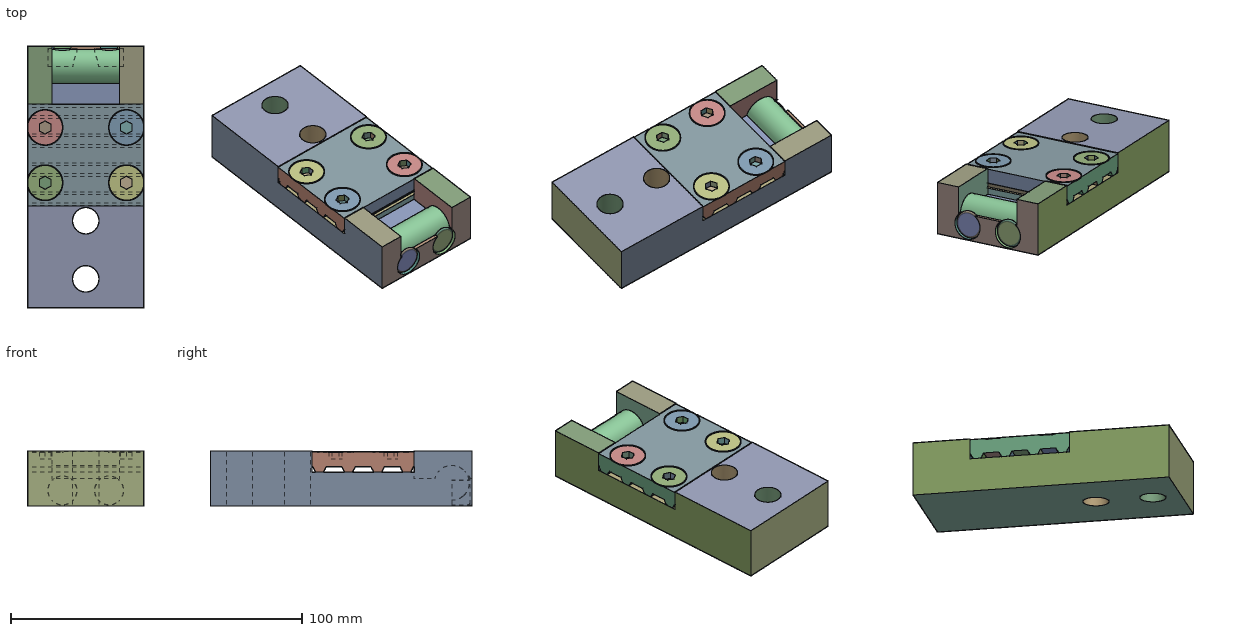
import cadquery as cq

WIDTH = 40.0
LENGTH = 90.0
HEIGHT = 19.0
FORK_END_Y = LENGTH / 2

SLOT_START = 20.0
SLOT_LENGTH = 35.0
SLOT_DEPTH = 7.3
SLOT_FLOOR_Z = HEIGHT - SLOT_DEPTH
SLOT_CENTRE_Y = FORK_END_Y - SLOT_START - SLOT_LENGTH / 2

FORK_GAP = 23.0
FORK_FLOOR_Z = 9.45
PIN_DIAMETER = 12.0
PIN_FROM_END = 7.0
PIN_AXIS_Z = 8.0

BORE_DIAMETER = 10.0
BORE_OFFSET_X = 8.0
BORE_AXIS_DROP = 4.05
BORE_AXIS_Z = FORK_FLOOR_Z - BORE_AXIS_DROP
BORE_DEPTH = PIN_FROM_END
HEAD_DIAMETER = 9.9
HEAD_INSET = 0.8
HEAD_ROUNDING = 0.6

MOUNT_DIAMETER = 9.0
MOUNT_FROM_END = 60.0
MOUNT_PITCH = 20.0
MOUNT_COUNT = 2

PLATE_DROP = 0.3
PLATE_TOP_Z = HEIGHT - PLATE_DROP
TOOTH_PITCH = 10.0
GAP_ROOT_WIDTH = 5.3
GAP_MOUTH_WIDTH = 7.2
GAP_HEIGHT = 1.8
GAP_COUNT = 5

SCREW_SPACING_X = 28.0
SCREW_SPACING_Y = 19.0
SCREW_DIAMETER = 12.0
GROOVE_WIDTH = 0.2
GROOVE_DEPTH = 0.3
HEX_ACROSS_FLATS = 4.0
HEX_DEPTH = 2.5


def upright_box(width, length, height, centre_y, bottom_z):
    """Box centred on X and on centre_y, standing on bottom_z."""
    return cq.Workplane("XY", origin=(0, centre_y, bottom_z)).box(
        width, length, height, centered=(True, True, False)
    )


def lengthwise_rod(diameter, x, inset, length):
    """Rod along Y on a bore axis, starting at a distance inside the fork end."""
    plane = cq.Workplane("XZ", origin=(x, FORK_END_Y - inset, BORE_AXIS_Z))
    return plane.circle(diameter / 2).extrude(length)


def make_screw_head(x):
    head = lengthwise_rod(HEAD_DIAMETER, x, HEAD_INSET, BORE_DEPTH - HEAD_INSET)
    return head.faces(">Y").edges().fillet(HEAD_ROUNDING)


def make_pin():
    plane = cq.Workplane("YZ", origin=(-FORK_GAP / 2, FORK_END_Y - PIN_FROM_END, PIN_AXIS_Z))
    return plane.circle(PIN_DIAMETER / 2).extrude(FORK_GAP)


def make_base():
    base = upright_box(WIDTH, LENGTH, HEIGHT, 0, 0)

    slot = upright_box(WIDTH, SLOT_LENGTH, SLOT_DEPTH, SLOT_CENTRE_Y, SLOT_FLOOR_Z)
    fork_gap = upright_box(
        FORK_GAP, SLOT_START, HEIGHT - FORK_FLOOR_Z, FORK_END_Y - SLOT_START / 2, FORK_FLOOR_Z
    )
    base = base.cut(slot).cut(fork_gap)

    bore_places = (-BORE_OFFSET_X, BORE_OFFSET_X)
    for x in bore_places:
        base = base.cut(lengthwise_rod(BORE_DIAMETER, x, 0, BORE_DEPTH))
    base = base.union(make_pin())
    for x in bore_places:
        base = base.union(make_screw_head(x))

    first_mount_y = FORK_END_Y - MOUNT_FROM_END
    mounts = cq.Workplane("XY").pushPoints(
        [(0, first_mount_y - i * MOUNT_PITCH) for i in range(MOUNT_COUNT)]
    )
    return base.cut(mounts.circle(MOUNT_DIAMETER / 2).extrude(HEIGHT))


def make_tooth_gap(centre_y):
    """Trapezoid groove across the underside of the plate."""
    half_mouth = GAP_MOUTH_WIDTH / 2
    half_root = GAP_ROOT_WIDTH / 2
    outline = cq.Workplane("YZ", origin=(-WIDTH / 2, centre_y, SLOT_FLOOR_Z)).polyline(
        [
            (-half_mouth, 0),
            (half_mouth, 0),
            (half_root, GAP_HEIGHT),
            (-half_root, GAP_HEIGHT),
        ]
    )
    return outline.close().extrude(WIDTH)


def make_plate():
    plate = upright_box(WIDTH, SLOT_LENGTH, PLATE_TOP_Z - SLOT_FLOOR_Z, SLOT_CENTRE_Y, SLOT_FLOOR_Z)

    for i in range(GAP_COUNT):
        steps_from_middle = i - (GAP_COUNT - 1) / 2
        plate = plate.cut(make_tooth_gap(SLOT_CENTRE_Y + steps_from_middle * TOOTH_PITCH))

    top = cq.Workplane("XY", origin=(0, SLOT_CENTRE_Y, PLATE_TOP_Z))
    screws = top.rarray(SCREW_SPACING_X, SCREW_SPACING_Y, 2, 2)
    head_radius = SCREW_DIAMETER / 2
    ring_grooves = (
        screws.circle(head_radius + GROOVE_WIDTH).circle(head_radius).extrude(-GROOVE_DEPTH)
    )
    hex_sockets = screws.polygon(6, HEX_ACROSS_FLATS, circumscribed=True).extrude(-HEX_DEPTH)
    return plate.cut(ring_grooves).cut(hex_sockets)


base = make_base()
plate = make_plate()
result = cq.Compound.makeCompound([base.val(), plate.val()])